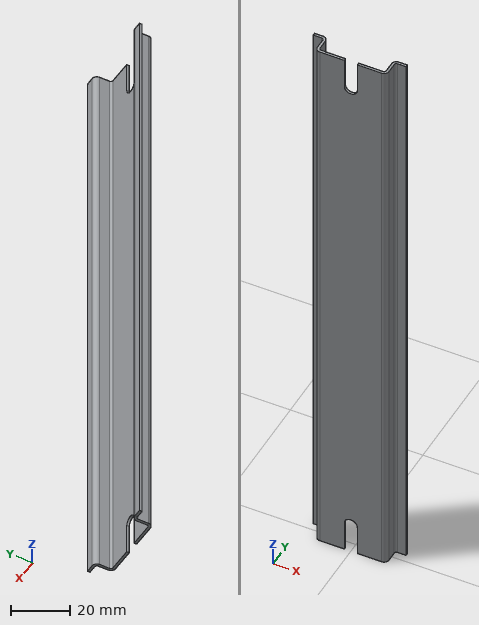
import cadquery as cq

rail_length = 223.0
rail_width = 35.0
rail_depth = 7.5

sheet = 1.0
channel_width = 27.0
inner_bend_radius = 0.8
outer_bend_radius = inner_bend_radius + sheet

slot_width = 5.0
slot_length = 14.3

half_width = rail_width / 2
wall_outer = channel_width / 2
wall_inner = wall_outer - sheet
web_front = -rail_depth / 2
flange_back = rail_depth / 2


def box_between(x_start, x_end, y_start, y_end):
    """Full-length block between two X and two Y positions, centred on Z."""
    block = cq.Workplane("XY").box(x_end - x_start, y_end - y_start, rail_length)
    return block.translate(((x_start + x_end) / 2, (y_start + y_end) / 2, 0))


def make_profile_solid():
    """Channel with outward flanges and rounded bends."""
    channel = box_between(-wall_outer, wall_outer, web_front, flange_back)
    flanges = box_between(-half_width, half_width, flange_back - sheet, flange_back)
    hollow = box_between(-wall_inner, wall_inner, web_front + sheet, flange_back)
    rail = channel.union(flanges).cut(hollow)

    def bend_edges(x, y):
        points = [(-x, y, 0), (x, y, 0)]
        edges = [rail.edges(cq.NearestToPointSelector(point)).val() for point in points]
        return rail.newObject(edges)

    outer_bends = [(wall_outer, web_front), (wall_inner, flange_back)]
    inner_bends = [(wall_inner, web_front + sheet), (wall_outer, flange_back - sheet)]
    bends = [(place, inner_bend_radius) for place in inner_bends]
    bends += [(place, outer_bend_radius) for place in outer_bends]
    for (x, y), radius in bends:
        rail = bend_edges(x, y).fillet(radius)
    return rail


def make_end_slot(end):
    """Round-bottomed slot cutter; end is +1 for the top and -1 for the bottom."""
    cutter = cq.Workplane("XZ").center(0, end * rail_length / 2)
    return cutter.slot2D(2 * slot_length, slot_width, 90).extrude(rail_depth, both=True)


result = make_profile_solid()
for end in (1, -1):
    result = result.cut(make_end_slot(end))